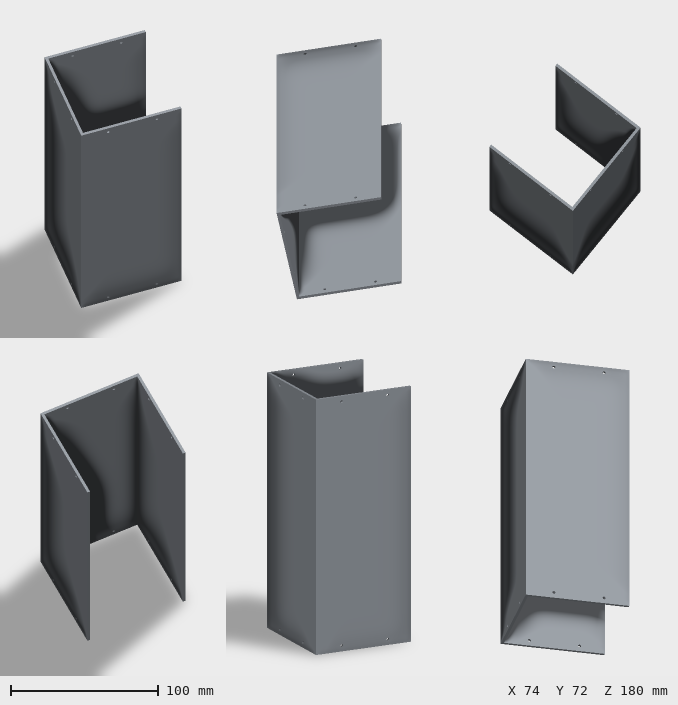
import cadquery as cq

width = 74.0
depth = 72.0
height = 180.0
wall = 2.0

hole_diameter = 2.0
hole_spacing = 35.0
hole_end_margin = 4.0

inner_width = width - 2 * wall
inner_depth = depth - wall
side_hole_center_y = wall + inner_depth / 2
hole_rows = (hole_end_margin, height - hole_end_margin)
hole_offsets = (-hole_spacing / 2, hole_spacing / 2)


def make_channel():
    """U-shaped channel, centred on X, with its web at Y = 0 and open toward +Y."""
    outer = cq.Workplane("XY").box(width, depth, height, centered=(True, False, False))
    cavity = (
        cq.Workplane("XY")
        .box(inner_width, inner_depth, height, centered=(True, False, False))
        .translate((0, wall, 0))
    )
    return outer.cut(cavity)


def make_web_holes():
    """Cutters through the web, running along Y."""
    points = [(x, z) for x in hole_offsets for z in hole_rows]
    return cq.Workplane("XZ").pushPoints(points).circle(hole_diameter / 2).extrude(-wall)


def make_side_holes():
    """Cutters through both side walls, running along X."""
    points = [(side_hole_center_y + y, z) for y in hole_offsets for z in hole_rows]
    return (
        cq.Workplane("YZ")
        .pushPoints(points)
        .circle(hole_diameter / 2)
        .extrude(width / 2, both=True)
    )


result = make_channel().cut(make_web_holes()).cut(make_side_holes())